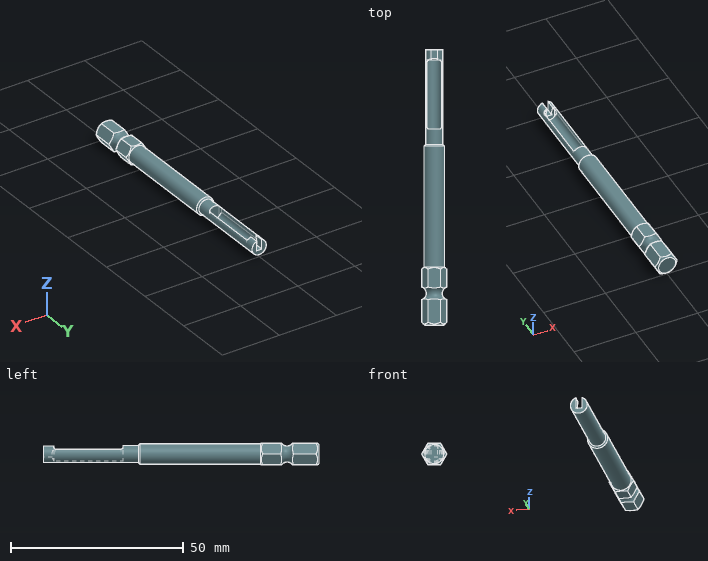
import cadquery as cq
import math

total_length = 80.0
body_diameter = 6.0
shoulder_chamfer = 0.5
tip_length = 27.5

hex_flat_step = 0.18
hex_length = 17.0
hex_end_diameter = 5.5

groove_distance = 9.3
groove_neck_diameter = 4.7
groove_arc_radius = 1.9

pocket_setback = 3.0
pocket_length = 20.0
pocket_width = 4.1
pocket_corner_radius = 0.5
pocket_cone_depth = 1.0
slot_width = 1.8
slot_floor = -0.9

body_radius = body_diameter / 2
tip_radius = body_radius - shoulder_chamfer
hex_across_flats = body_diameter + 2 * hex_flat_step
hex_corner_radius = hex_across_flats / math.sqrt(3)
hex_end_radius = hex_end_diameter / 2
drive_end = -total_length / 2
tip_end = total_length / 2
hex_front = drive_end + hex_length
shoulder = tip_end - tip_length
pocket_end = tip_end - pocket_setback


def revolve_about_shaft(outline):
    """Turn a closed outline of (radius, Y) points around the shaft axis."""
    return cq.Workplane("XY").polyline(outline).close().revolve(360, (0, 0, 0), (0, 1, 0))


def round_shaft():
    """Body stepping down through a chamfered shoulder to the tip."""
    return revolve_about_shaft([
        (0, hex_front),
        (body_radius, hex_front),
        (body_radius, shoulder - shoulder_chamfer),
        (tip_radius, shoulder),
        (tip_radius, tip_end),
        (0, tip_end),
    ])


def hex_drive():
    """Hexagon with corners on X, turned conical at both ends and grooved."""
    hexagon = (
        cq.Workplane("XZ", origin=(0, drive_end, 0))
        .polygon(6, 2 * hex_corner_radius)
        .extrude(-hex_length)
    )
    turned_envelope = revolve_about_shaft([
        (0, drive_end),
        (hex_end_radius, drive_end),
        (hex_corner_radius, drive_end + hex_corner_radius - hex_end_radius),
        (hex_corner_radius, hex_front - hex_corner_radius + body_radius),
        (body_radius, hex_front),
        (0, hex_front),
    ])
    groove_arc_offset = groove_neck_diameter / 2 + groove_arc_radius
    groove = (
        cq.Workplane("XY", origin=(0, drive_end + groove_distance, 0))
        .center(groove_arc_offset, 0)
        .circle(groove_arc_radius)
        .revolve(360, (-groove_arc_offset, 0, 0), (-groove_arc_offset, 1, 0))
    )
    return hexagon.intersect(turned_envelope).cut(groove)


def tip_pocket():
    """Rounded-corner pocket, open upward, with a half-round floor on the shaft axis."""
    pocket_centre = pocket_end - pocket_length / 2
    pocket = (
        cq.Workplane("XY", origin=(0, pocket_centre, -pocket_width / 2))
        .rect(pocket_width, pocket_length)
        .extrude(pocket_width / 2 + body_radius)
        .edges("|Z")
        .fillet(pocket_corner_radius)
    )
    section = (
        cq.Workplane("XZ", origin=(0, tip_end, 0))
        .moveTo(-pocket_width / 2, body_radius)
        .lineTo(-pocket_width / 2, 0)
        .threePointArc((0, -pocket_width / 2), (pocket_width / 2, 0))
        .lineTo(pocket_width / 2, body_radius)
        .close()
        .extrude(tip_length)
    )
    return pocket.intersect(section)


def pocket_end_cone():
    """Conical hollow in the pocket's +Y end wall, on the shaft axis."""
    return revolve_about_shaft([
        (0, pocket_end),
        (pocket_width / 2, pocket_end),
        (0, pocket_end + pocket_cone_depth),
    ])


def end_slot():
    """Flat-floored slot joining the tip face to the pocket."""
    slot_length = pocket_setback + pocket_corner_radius
    return (
        cq.Workplane("XY", origin=(0, tip_end - slot_length / 2, slot_floor))
        .rect(slot_width, slot_length)
        .extrude(body_radius - slot_floor)
    )


result = round_shaft().union(hex_drive()).cut(tip_pocket()).cut(pocket_end_cone()).cut(end_slot())